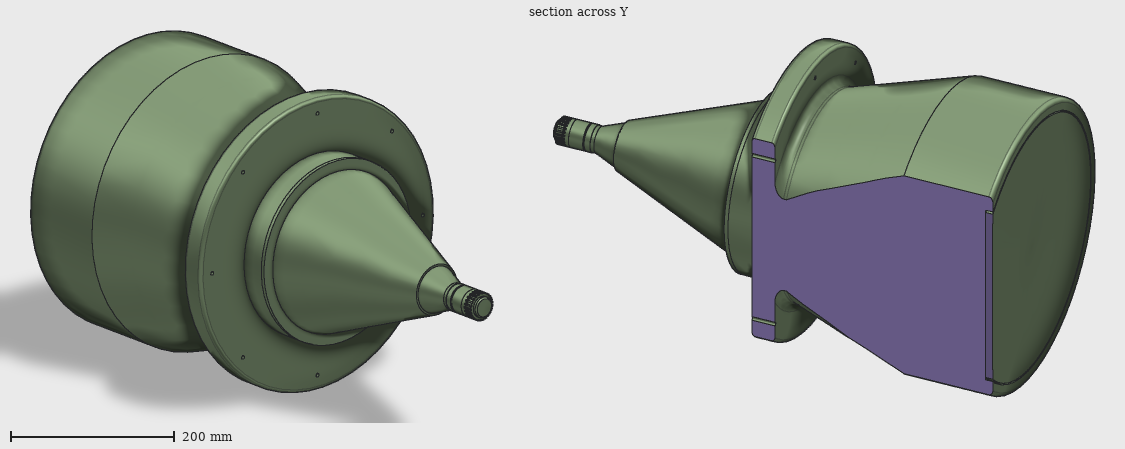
import cadquery as cq

BARREL_END = 119.0
TAPER_END = 276.5
NECK_START = 280.0
FLANGE_FRONT = 292.0
FLANGE_BACK = 323.0
HUB_END = 355.5
PLATE_END = 360.5
CONE_END = 547.0
NOSE_TAPER_END = 580.0
COLLAR_START = 585.5
COLLAR_END = 595.0
SLEEVE_END = 614.0
GRIP_START = 620.0
GRIP_GROOVE_START = 621.5
GRIP_GROOVE_END = 623.0
GRIP_END = 632.0
LENGTH = 637.0

BARREL_RADIUS = 188.0
FLANGE_RADIUS = 188.0
NECK_RADIUS = 137.0
HUB_RADIUS = 118.0
FRONT_ROUND = 6.0
FLANGE_ROUND = 4.5
NECK_FILLET = FLANGE_FRONT - NECK_START

WINDOW_SEAT_RADIUS = 172.0
WINDOW_CLEARANCE = 2.0
WINDOW_RADIUS = WINDOW_SEAT_RADIUS - WINDOW_CLEARANCE
WINDOW_THICKNESS = 9.5
WINDOW_DISH = 2.0

HOLE_COUNT = 8
HOLE_CIRCLE_RADIUS = 169.0
HOLE_DIAMETER = 4.5

CONE_BASE_RADIUS = 104.0
CONE_TIP_RADIUS = 32.5
NOSE_BASE_RADIUS = 30.0
NOSE_NECK_RADIUS = 17.0
COLLAR_RADIUS = 18.0
SEAM_GROOVE_WIDTH = 1.0
SEAM_GROOVE_DEPTH = 1.0
PLUG_RADIUS = 13.5
PLUG_CHAMFER = 2.0

FLUTE_COUNT = 24
FLUTE_WIDTH = 2.0
FLUTE_DEPTH = 1.0

SELECT_MARGIN = 0.5


def rod(start, end, radius):
    """Cylinder on the X axis between two stations."""
    return cq.Workplane("YZ").workplane(offset=start).circle(radius).extrude(end - start)


def spin(profile):
    """Solid of revolution about the X axis from a closed profile in the XZ plane."""
    return profile.close().revolve(360, (0, 0, 0), (1, 0, 0))


def rim_edges(station, radius):
    """Selector for the edges at one station that reach out to a radius, not the smaller ones."""

    def slab(reach):
        return cq.selectors.BoxSelector(
            (station - SELECT_MARGIN, -reach, -reach),
            (station + SELECT_MARGIN, reach, reach),
            boundingbox=True,
        )

    return slab(radius + SELECT_MARGIN) - slab(radius - SELECT_MARGIN)


def make_housing():
    """Front barrel, tapered neck, bolted flange and hub."""
    profile = (
        cq.Workplane("XZ")
        .moveTo(0, 0)
        .lineTo(0, BARREL_RADIUS)
        .lineTo(BARREL_END, BARREL_RADIUS)
        .lineTo(TAPER_END, NECK_RADIUS)
        .lineTo(NECK_START, NECK_RADIUS)
        .radiusArc((FLANGE_FRONT, NECK_RADIUS + NECK_FILLET), -NECK_FILLET)
        .lineTo(FLANGE_FRONT, FLANGE_RADIUS)
        .lineTo(FLANGE_BACK, FLANGE_RADIUS)
        .lineTo(FLANGE_BACK, HUB_RADIUS)
        .lineTo(HUB_END, HUB_RADIUS)
        .lineTo(HUB_END, 0)
    )
    housing = spin(profile)

    front_rim = rim_edges(0, BARREL_RADIUS)
    flange_rims = rim_edges(FLANGE_FRONT, FLANGE_RADIUS) + rim_edges(FLANGE_BACK, FLANGE_RADIUS)
    housing = housing.edges(front_rim).fillet(FRONT_ROUND)
    housing = housing.edges(flange_rims).fillet(FLANGE_ROUND)

    housing = housing.cut(rod(0, WINDOW_THICKNESS, WINDOW_SEAT_RADIUS))
    holes = (
        cq.Workplane("YZ")
        .workplane(offset=FLANGE_FRONT)
        .polarArray(HOLE_CIRCLE_RADIUS, 0, 360, HOLE_COUNT)
        .circle(HOLE_DIAMETER / 2)
        .extrude(FLANGE_BACK - FLANGE_FRONT)
    )
    return housing.cut(holes)


def make_window():
    """Disc with a shallow conical dish in its front face."""
    profile = (
        cq.Workplane("XZ")
        .moveTo(WINDOW_DISH, 0)
        .lineTo(0, WINDOW_RADIUS)
        .lineTo(WINDOW_THICKNESS, WINDOW_RADIUS)
        .lineTo(WINDOW_THICKNESS, 0)
    )
    return spin(profile)


def make_cone():
    """End plate on the hub with the long taper behind it."""
    profile = (
        cq.Workplane("XZ")
        .moveTo(HUB_END, 0)
        .lineTo(HUB_END, HUB_RADIUS)
        .lineTo(PLATE_END, HUB_RADIUS)
        .lineTo(PLATE_END, CONE_BASE_RADIUS)
        .lineTo(CONE_END, CONE_TIP_RADIUS)
        .lineTo(CONE_END, 0)
    )
    return spin(profile)


def make_nose():
    """Short taper, relieved neck and collar that carry the connector."""
    groove_start = COLLAR_END - SEAM_GROOVE_WIDTH
    profile = (
        cq.Workplane("XZ")
        .moveTo(CONE_END, 0)
        .lineTo(CONE_END, NOSE_BASE_RADIUS)
        .lineTo(NOSE_TAPER_END, NOSE_NECK_RADIUS)
        .lineTo(COLLAR_START, NOSE_NECK_RADIUS)
        .lineTo(COLLAR_START, COLLAR_RADIUS)
        .lineTo(groove_start, COLLAR_RADIUS)
        .lineTo(groove_start, COLLAR_RADIUS - SEAM_GROOVE_DEPTH)
        .lineTo(COLLAR_END, COLLAR_RADIUS - SEAM_GROOVE_DEPTH)
        .lineTo(COLLAR_END, 0)
    )
    return spin(profile)


def make_sleeve():
    """Plain connector sleeve between the nose and the nut."""
    return rod(COLLAR_END, SLEEVE_END, COLLAR_RADIUS)


def make_nut():
    """Connector nut with a fluted, ring-grooved grip and a chamfered plug at its end."""
    nut = rod(SLEEVE_END, GRIP_END, COLLAR_RADIUS)
    flutes = (
        cq.Workplane("YZ")
        .workplane(offset=GRIP_START)
        .polarArray(COLLAR_RADIUS, 0, 360, FLUTE_COUNT)
        .rect(2 * FLUTE_DEPTH, FLUTE_WIDTH)
        .extrude(GRIP_END - GRIP_START)
    )
    groove = rod(GRIP_GROOVE_START, GRIP_GROOVE_END, COLLAR_RADIUS).cut(
        rod(GRIP_GROOVE_START, GRIP_GROOVE_END, COLLAR_RADIUS - FLUTE_DEPTH)
    )
    plug = rod(GRIP_END, LENGTH, PLUG_RADIUS).faces(">X").chamfer(PLUG_CHAMFER)
    return nut.cut(flutes).cut(groove).union(plug)


housing = make_housing()
window = make_window()
cone = make_cone()
nose = make_nose()
sleeve = make_sleeve()
nut = make_nut()

result = cq.Compound.makeCompound(
    [housing.val(), window.val(), cone.val(), nose.val(), sleeve.val(), nut.val()]
)